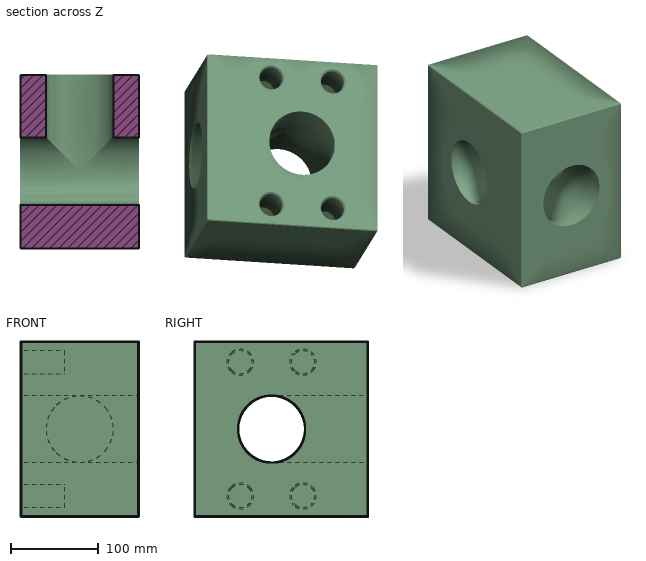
import cadquery as cq

LENGTH_X = 135.0
LENGTH_Y = 198.0
LENGTH_Z = 200.0
EDGE_CHAMFER = 1.0

BORE_DIAMETER = 76.0
BORE_FROM_MINUS_Y = 88.0

BOLT_SPACING_Y = 71.4
BOLT_SPACING_Z = 152.4
BOLT_HOLE_DIAMETER = 26.5
BOLT_MOUTH_DIAMETER = 30.0
BOLT_HOLE_DEPTH = 50.0

PORT_FACE_X = -LENGTH_X / 2
SIDE_PORT_FACE_Y = LENGTH_Y / 2
BORE_Y = BORE_FROM_MINUS_Y - LENGTH_Y / 2


def make_block():
    """Rectangular block with every edge lightly chamfered."""
    return cq.Workplane("XY").box(LENGTH_X, LENGTH_Y, LENGTH_Z).edges().chamfer(EDGE_CHAMFER)


def make_bores():
    """Through bore along X joined by a side bore of the same diameter from the +Y face."""
    radius = BORE_DIAMETER / 2
    through_bore = cq.Workplane("YZ", origin=(PORT_FACE_X, BORE_Y, 0)).circle(radius).extrude(LENGTH_X)
    side_bore_length = SIDE_PORT_FACE_Y - BORE_Y
    side_bore = cq.Workplane("XZ", origin=(0, SIDE_PORT_FACE_Y, 0)).circle(radius).extrude(side_bore_length)
    return through_bore.union(side_bore)


def make_bolt_holes():
    """Flat-bottomed blind holes with a 45 degree countersunk mouth."""
    mouth_depth = (BOLT_MOUTH_DIAMETER - BOLT_HOLE_DIAMETER) / 2
    profile = [
        (0, 0),
        (BOLT_MOUTH_DIAMETER / 2, 0),
        (BOLT_HOLE_DIAMETER / 2, mouth_depth),
        (BOLT_HOLE_DIAMETER / 2, BOLT_HOLE_DEPTH),
        (0, BOLT_HOLE_DEPTH),
    ]
    hole = (
        cq.Workplane("XY")
        .polyline(profile)
        .close()
        .revolve(360, (0, 0, 0), (0, 1, 0))
        .rotate((0, 0, 0), (0, 0, 1), -90)
    )
    holes = cq.Workplane("XY")
    for side_y in (-1, 1):
        for side_z in (-1, 1):
            bolt_y = BORE_Y + side_y * BOLT_SPACING_Y / 2
            bolt_z = side_z * BOLT_SPACING_Z / 2
            holes = holes.add(hole.translate((PORT_FACE_X, bolt_y, bolt_z)))
    return holes.combine()


result = make_block().cut(make_bores()).cut(make_bolt_holes())